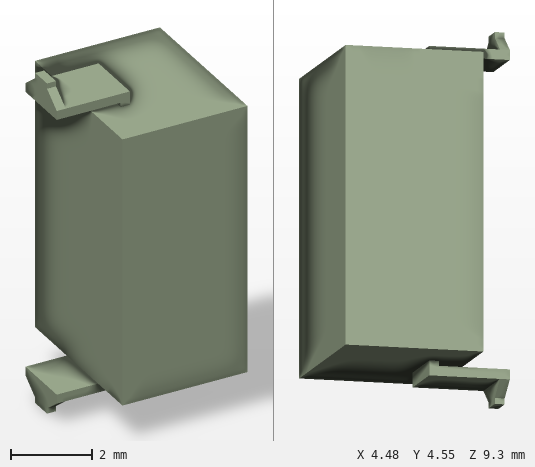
import cadquery as cq

overall_depth = 4.55
overall_height = 9.3

body_width = 4.48
body_depth = 3.5
body_height = 7.5

lead_width = 1.6
lead_thickness = 0.25
lead_reach = 2.05
neck_height = 0.12
tip_width = 0.6
tip_height = 0.15

body_top = body_height / 2
plate_bottom = body_top + neck_height
plate_top = plate_bottom + lead_thickness
lead_top = overall_height / 2
tip_base = lead_top - tip_height

lead_front = body_depth - overall_depth
lead_back = lead_front + lead_reach


def make_body():
    return cq.Workplane("XY").box(
        body_width, body_depth, body_height, centered=(True, False, True)
    )


def make_upper_lead():
    """Stepped side profile trimmed to the tapered outline of the foot."""
    side_profile = [
        (lead_back, body_top),
        (lead_back, plate_top),
        (lead_front + lead_thickness, plate_top),
        (lead_front + lead_thickness, lead_top),
        (lead_front, lead_top),
        (lead_front, plate_bottom),
        (lead_back - lead_thickness, plate_bottom),
        (lead_back - lead_thickness, body_top),
    ]
    strip = cq.Workplane("YZ").polyline(side_profile).close().extrude(lead_width / 2, both=True)

    foot_outline = [
        (-lead_width / 2, body_top),
        (-lead_width / 2, plate_top),
        (-tip_width / 2, tip_base),
        (-tip_width / 2, lead_top),
        (tip_width / 2, lead_top),
        (tip_width / 2, tip_base),
        (lead_width / 2, plate_top),
        (lead_width / 2, body_top),
    ]
    outline_prism = (
        cq.Workplane("XZ", origin=(0, lead_back, 0)).polyline(foot_outline).close().extrude(lead_reach)
    )
    return strip.intersect(outline_prism)


upper_lead = make_upper_lead()
lower_lead = upper_lead.mirror("XY")
result = make_body().union(upper_lead).union(lower_lead)